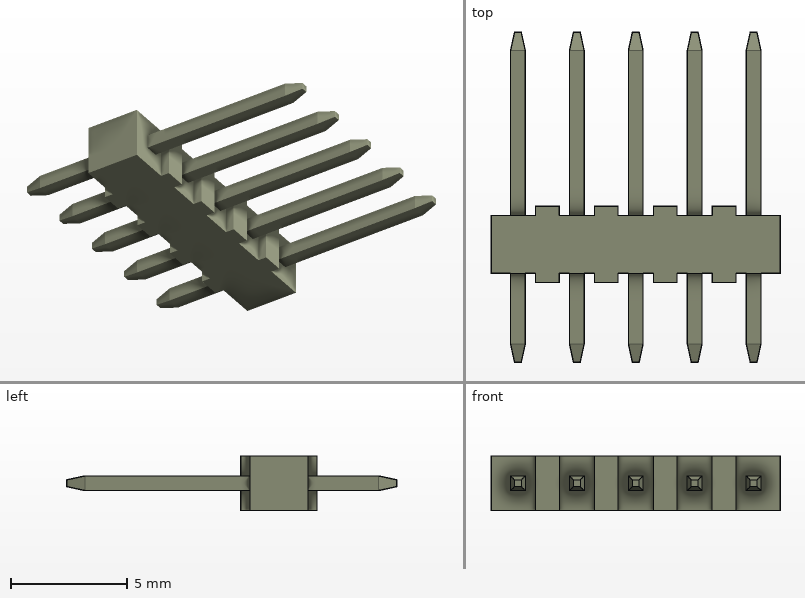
import cadquery as cq

pin_count = 5
pin_row_span = 10.15
pin_pitch = pin_row_span / (pin_count - 1)

body_width = 12.45
body_depth = 2.5
body_height = 2.36

rib_width = 1.02
rib_protrusion = 0.4

pin_length = 14.22
pin_side = 0.64
pin_tip_side = 0.3
pin_taper_length = 0.78
pin_front_exposure = 3.83

pin_front_y = -pin_length / 2
body_center_y = pin_front_y + pin_front_exposure + body_depth / 2
pin_shank_length = pin_length - 2 * pin_taper_length


def centered_positions(count):
    """X places of a row of items at the pin pitch, centred on the origin."""
    return [(i - (count - 1) / 2) * pin_pitch for i in range(count)]


def make_body():
    """Rectangular housing with full-height ribs midway between the pins."""
    body = cq.Workplane("XY").box(body_width, body_depth, body_height)
    rib_depth = body_depth + 2 * rib_protrusion
    for x in centered_positions(pin_count - 1):
        rib = cq.Workplane("XY").box(rib_width, rib_depth, body_height)
        body = body.union(rib.translate((x, 0, 0)))
    return body.translate((0, body_center_y, 0))


def make_tip():
    """Truncated pyramid at the back end of a pin, narrowing toward +Y."""
    return (
        cq.Workplane("XZ", origin=(0, pin_shank_length / 2, 0))
        .rect(pin_side, pin_side)
        .workplane(offset=-pin_taper_length)
        .rect(pin_tip_side, pin_tip_side)
        .loft(ruled=True)
    )


def make_pin():
    """Square pin centred on the origin and tapered at both ends."""
    shank = cq.Workplane("XY").box(pin_side, pin_shank_length, pin_side)
    back_tip = make_tip()
    front_tip = back_tip.mirror("XZ")
    return shank.union(back_tip).union(front_tip)


result = make_body()
pin = make_pin()
for pin_x in centered_positions(pin_count):
    result = result.union(pin.translate((pin_x, 0, 0)))